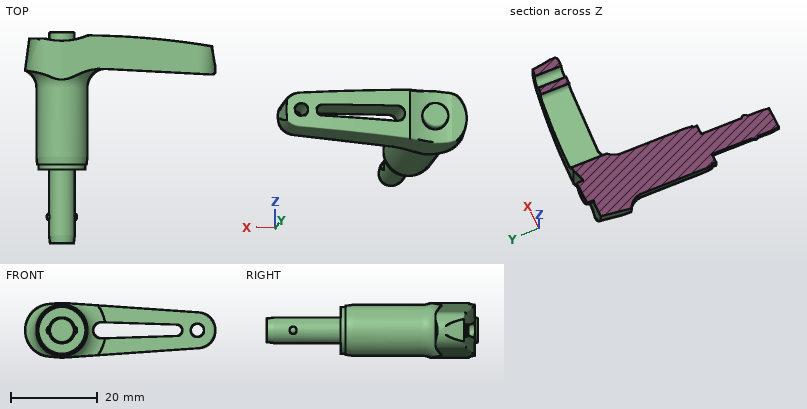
import math

import cadquery as cq


pin_radius = 3.0
pin_length = 17.0
pin_tip_radius = 2.75
pin_tip_length = 1.8
ball_radius = 0.9
ball_reach = 3.5
ball_y = -10.9
button_radius = 2.95
button_top = 31.6
button_rounding = 0.5

collar_radius = 5.4
collar_height = 1.15
body_radius = 5.9
body_taper_radius = 5.7
body_taper_top = 2.8
body_blend_radius = 4.2

heel_x = -2.36
heel_radius = 6.12
head_radius = 6.33
tip_x = 31.17
tip_radius = 4.16
eye_radius = 1.5

slot_start_x = 9.05
slot_start_radius = 1.83
slot_end_x = 26.4
slot_end_radius = 1.28

underside_x = 10.1
underside_y = 23.1
underside_slope = math.tan(math.radians(3))
heel_top_y = 30.17
dip_bottom_y = 29.62
dip_radius = 15.0
crest_x = 6.0
crest_y = 30.9
back_mid = (21.4, 30.1)
back_end = (36.0, 28.12)
tip_top_x = 34.33
tip_top_y = 28.37
tip_rounding = 1.0
top_edge_break = 0.28

heel_bottom_y = 22.5
heel_face_radius = 7.55
heel_face_tilt = 7.6
tip_face_radius = 20.0
tip_face_tilt = 9.0

tip_end_x = tip_x + tip_radius
heel_end_x = heel_x - heel_radius
clearance = 6.0
tolerance = 0.1


def along_y(y):
    """Workplane at height y with local x = X, local y = Z and its normal along -Y."""
    return cq.Workplane("XZ", origin=(0, y, 0))


def tangent_points(first, second):
    """Upper tangent points of two circles (centre x, radius) lying on the X axis."""
    x1, r1 = first
    x2, r2 = second
    sine = (r1 - r2) / (x2 - x1)
    cosine = math.sqrt(1 - sine ** 2)
    return (x1 + r1 * sine, r1 * cosine), (x2 + r2 * sine, r2 * cosine)


def mirrored(point):
    return point[0], -point[1]


def underside_at(x):
    return underside_y - (x - underside_x) * underside_slope


def lever_outline():
    heel_tangent, head_left = tangent_points((heel_x, heel_radius), (0, head_radius))
    head_right, tip_tangent = tangent_points((0, head_radius), (tip_x, tip_radius))
    return (
        along_y(0)
        .moveTo(*heel_tangent)
        .lineTo(*head_left)
        .threePointArc((0, head_radius), head_right)
        .lineTo(*tip_tangent)
        .threePointArc((tip_end_x, 0), mirrored(tip_tangent))
        .lineTo(*mirrored(head_right))
        .threePointArc((0, -head_radius), mirrored(head_left))
        .lineTo(*mirrored(heel_tangent))
        .threePointArc((heel_end_x, 0), heel_tangent)
        .close()
        .extrude(-button_top)
    )


def tilted_cylinder(axis_x, axis_y, radius, tilt):
    """Long cylinder through (axis_x, axis_y) with its axis leaning from +Y towards +X."""
    angle = math.radians(tilt)
    axis = cq.Vector(math.sin(angle), math.cos(angle), 0)
    centre = cq.Vector(axis_x, axis_y, 0)
    cylinder = cq.Solid.makeCylinder(radius, 2 * button_top, centre - axis * button_top, axis)
    return cq.Workplane(cylinder)


def end_stock(x_min, x_max):
    """Block across the full lever between two X positions."""
    depth = 2 * (head_radius + clearance)
    block = cq.Workplane("XY").box(x_max - x_min, button_top, depth, centered=(False, False, True))
    return block.translate((x_min, 0, 0))


def lever_slab():
    """Lever side profile, wider than the outline and left long at the heel."""
    dip_half_width = math.sqrt(dip_radius ** 2 - (dip_radius - heel_top_y + dip_bottom_y) ** 2)
    stock_x = heel_end_x - clearance
    slab = (
        cq.Workplane("XY")
        .moveTo(stock_x, underside_at(stock_x))
        .lineTo(stock_x, heel_top_y)
        .lineTo(-dip_half_width, heel_top_y)
        .threePointArc((0, dip_bottom_y), (crest_x, crest_y))
        .threePointArc(back_mid, back_end)
        .lineTo(back_end[0], underside_at(back_end[0]))
        .close()
        .extrude(head_radius + clearance, both=True)
    )
    tip_axis_x = tip_top_x - tip_face_radius
    tip_face = tilted_cylinder(tip_axis_x, tip_top_y, tip_face_radius, -tip_face_tilt)
    tip_stock = end_stock(tip_x, tip_x + 2 * clearance)
    slab = slab.cut(tip_stock.cut(tip_face))
    lower_tip_edge = cq.selectors.NearestToPointSelector((tip_end_x, underside_at(tip_end_x), 0))
    return slab.edges(lower_tip_edge).fillet(tip_rounding)


def flared_body():
    """Grip body that flares out through a quarter arc to the underside of the lever."""
    flare_radius = body_radius + body_blend_radius
    flare_start_y = underside_y - body_blend_radius
    diagonal = body_blend_radius * math.sqrt(0.5)
    arc_middle = (flare_radius - diagonal, flare_start_y + diagonal)
    return (
        cq.Workplane("XY")
        .moveTo(0, body_taper_top)
        .lineTo(body_radius, body_taper_top)
        .lineTo(body_radius, flare_start_y)
        .threePointArc(arc_middle, (flare_radius, underside_y))
        .lineTo(flare_radius, underside_at(-flare_radius))
        .lineTo(0, underside_at(-flare_radius))
        .close()
        .revolve(360, (0, 0, 0), (0, 1, 0))
    )


def blended_lever():
    return lever_slab().union(flared_body()).intersect(lever_outline())


def heel_trim():
    """Stock to remove so that the slanted heel face is left."""
    axis_x = heel_end_x + heel_face_radius
    heel_face = tilted_cylinder(axis_x, heel_bottom_y, heel_face_radius, heel_face_tilt)
    return end_stock(heel_end_x - clearance, heel_x).cut(heel_face)


def is_rim_edge(edge):
    """True for the edges where the top of the lever meets its outer side walls."""
    box = edge.BoundingBox()
    top_band = box.ymin > tip_top_y - tolerance
    runs_along_side = box.xmax - box.xmin > tolerance and abs(edge.Center().z) > tip_radius / 2
    return top_band and runs_along_side and edge.Center().x > heel_x - heel_radius / 2


def break_rim(lever):
    rim = [edge for edge in lever.edges().vals() if is_rim_edge(edge)]
    return lever.newObject(rim).fillet(top_edge_break)


def tapered_slot():
    start_tangent, end_tangent = tangent_points(
        (slot_start_x, slot_start_radius), (slot_end_x, slot_end_radius)
    )
    return (
        along_y(0)
        .moveTo(*start_tangent)
        .lineTo(*end_tangent)
        .threePointArc((slot_end_x + slot_end_radius, 0), mirrored(end_tangent))
        .lineTo(*mirrored(start_tangent))
        .threePointArc((slot_start_x - slot_start_radius, 0), start_tangent)
        .close()
        .extrude(-button_top)
    )


def eye_hole():
    return along_y(0).center(tip_x, 0).circle(eye_radius).extrude(-button_top)


def turned_parts():
    """Pin, collar, lower body taper and button as one revolved profile."""
    return (
        cq.Workplane("XY")
        .moveTo(0, -pin_length)
        .lineTo(pin_tip_radius, -pin_length)
        .lineTo(pin_radius, pin_tip_length - pin_length)
        .lineTo(pin_radius, 0)
        .lineTo(collar_radius, 0)
        .lineTo(collar_radius, collar_height)
        .lineTo(body_taper_radius, collar_height)
        .lineTo(body_radius, body_taper_top)
        .lineTo(button_radius, body_taper_top)
        .lineTo(button_radius, button_top)
        .lineTo(0, button_top)
        .close()
        .revolve(360, (0, 0, 0), (0, 1, 0))
        .faces(">Y")
        .edges()
        .fillet(button_rounding)
    )


def locking_balls():
    offset = ball_reach - ball_radius
    ball = cq.Workplane("XY").sphere(ball_radius)
    return ball.translate((offset, ball_y, 0)).union(ball.translate((-offset, ball_y, 0)))


lever = blended_lever().cut(heel_trim())
lever = break_rim(lever)
lever = lever.cut(tapered_slot()).cut(eye_hole())

result = lever.union(turned_parts()).union(locking_balls())